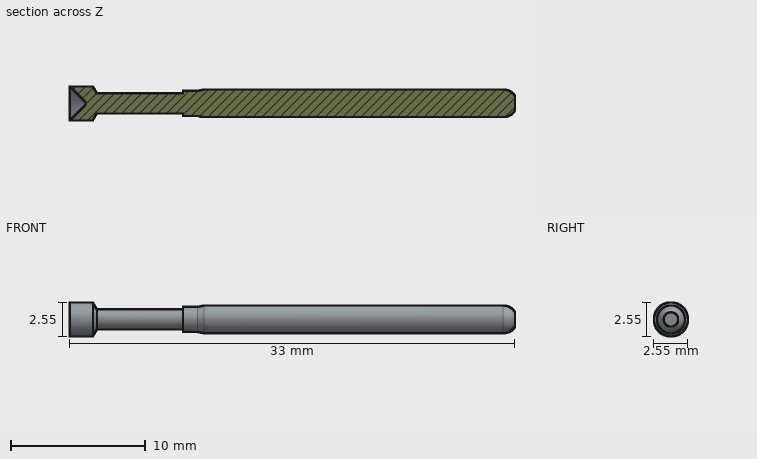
import cadquery as cq
import math


length = 33.02
head_end = 1.72
collar_start = 8.4
collar_end = 9.48
body_start = 9.97
nose_length = 0.9

head_radius = 2.55 / 2
stem_radius = 1.52 / 2
collar_radius = 1.88 / 2
body_radius = 2.08 / 2

head_taper_angle = math.radians(60)
stem_start = head_end + (head_radius - stem_radius) / math.tan(head_taper_angle)

nose_start = length - nose_length
nose_tip_radius = math.sqrt(body_radius**2 - nose_length**2)
nose_mid_angle = math.asin(nose_length / body_radius) / 2
nose_mid_point = (
    nose_start + body_radius * math.sin(nose_mid_angle),
    body_radius * math.cos(nose_mid_angle),
)

cup_floor_radius = 0.1
cup_depth = head_radius - cup_floor_radius

half_profile = (
    cq.Workplane("XY")
    .moveTo(cup_depth, 0)
    .lineTo(cup_depth, cup_floor_radius)
    .lineTo(0, head_radius)
    .lineTo(head_end, head_radius)
    .lineTo(stem_start, stem_radius)
    .lineTo(collar_start, stem_radius)
    .lineTo(collar_start, collar_radius)
    .lineTo(collar_end, collar_radius)
    .lineTo(body_start, body_radius)
    .lineTo(nose_start, body_radius)
    .threePointArc(nose_mid_point, (length, nose_tip_radius))
    .lineTo(length, 0)
    .close()
)

result = half_profile.revolve(360, (0, 0, 0), (1, 0, 0))